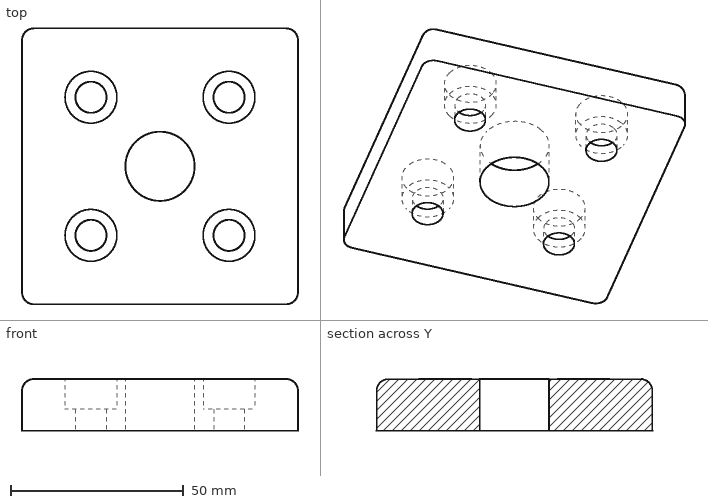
import cadquery as cq

side = 80.0
thickness = 15.0
edge_radius = 3.5

center_bore_diameter = 20.0
screw_spacing = side / 2
screw_hole_diameter = 9.0
counterbore_diameter = 15.0
counterbore_depth = 8.6

plate = cq.Workplane("XY").box(side, side, thickness, centered=(True, True, False))
plate = plate.edges("|Z or >Z").fillet(edge_radius)

plate = plate.faces(">Z").workplane(origin=(0, 0, thickness)).hole(center_bore_diameter)

result = (
    plate.faces(">Z")
    .workplane(origin=(0, 0, thickness))
    .rarray(screw_spacing, screw_spacing, 2, 2)
    .cboreHole(screw_hole_diameter, counterbore_diameter, counterbore_depth)
)